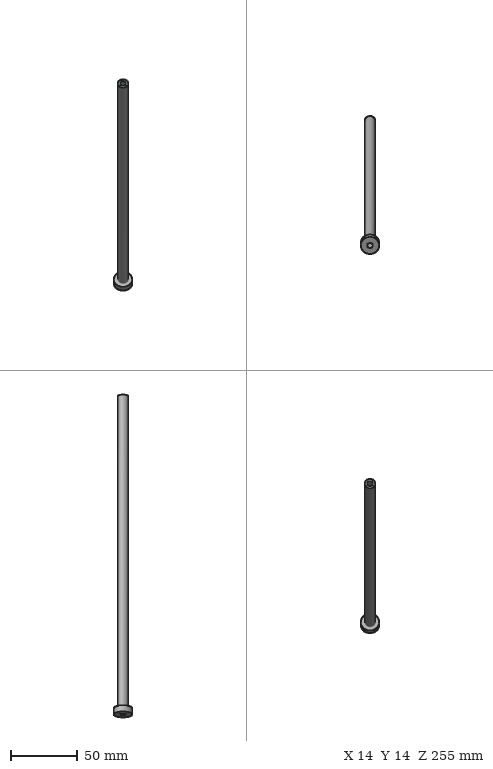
import cadquery as cq

total_length = 255.0
head_diameter = 14.0
head_height = 5.0
shaft_diameter = 8.0
bore_diameter = 4.2
neck_fillet_radius = 0.5


def make_body():
    """Head and shaft, blended by a small fillet where they meet."""
    head = cq.Workplane("XY").circle(head_diameter / 2).extrude(head_height)
    shaft = cq.Workplane("XY").circle(shaft_diameter / 2).extrude(total_length)
    smallest_circle = cq.selectors.RadiusNthSelector(0)
    body = head.union(shaft)
    return body.faces("<Z[1]").edges(smallest_circle).fillet(neck_fillet_radius)


def make_bore():
    """Plain bore running through the whole length."""
    return cq.Workplane("XY").circle(bore_diameter / 2).extrude(total_length)


result = make_body().cut(make_bore())